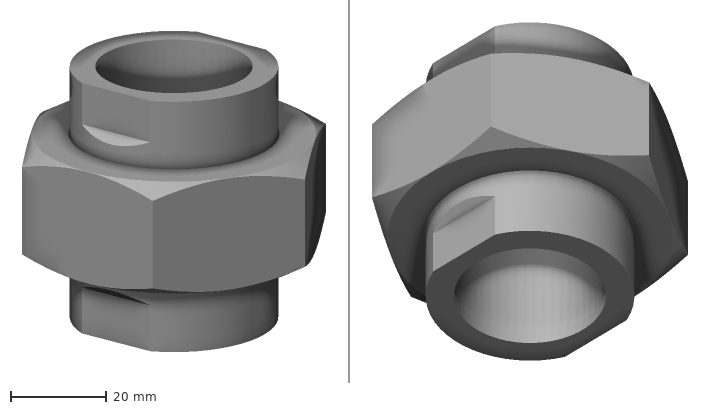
import cadquery as cq
import math

ACROSS_CORNERS = 69.3
ACROSS_FLATS = ACROSS_CORNERS * math.cos(math.radians(30))
TOTAL_HEIGHT = 56.0
NUT_BOTTOM = 16.0
NUT_HEIGHT = 25.0
NUT_TOP = NUT_BOTTOM + NUT_HEIGHT

NUT_BORE_RADIUS = 22.25
NUT_FACE_RADIUS = 29.9
NUT_CHAMFER_ANGLE = 30.0

TAIL_RADIUS = 21.95
JOINT_HEIGHT = 32.85
UPPER_BORE_RADIUS = 16.55
LOWER_BORE_RADIUS = 16.0
FLARE_HEIGHT = 0.5

FLAT_OFFSET = 20.0
UPPER_FLAT_LENGTH = 9.2
LOWER_FLAT_LENGTH = 10.25


def make_nut():
    """Hexagon with conical corner chamfers on both faces and a plain bore."""
    corner_radius = ACROSS_CORNERS / 2
    chamfer_height = (corner_radius - NUT_FACE_RADIUS) * math.tan(math.radians(NUT_CHAMFER_ANGLE))
    hexagon = (
        cq.Workplane("XY", origin=(0, 0, NUT_BOTTOM))
        .polygon(6, ACROSS_CORNERS)
        .extrude(NUT_HEIGHT)
    )
    envelope = (
        cq.Workplane("XZ")
        .polyline([
            (NUT_BORE_RADIUS, NUT_BOTTOM),
            (NUT_FACE_RADIUS, NUT_BOTTOM),
            (corner_radius, NUT_BOTTOM + chamfer_height),
            (corner_radius, NUT_TOP - chamfer_height),
            (NUT_FACE_RADIUS, NUT_TOP),
            (NUT_BORE_RADIUS, NUT_TOP),
        ])
        .close()
        .revolve(360, (0, 0), (0, 1))
    )
    return hexagon.intersect(envelope)


def cut_wrench_flats(tail, end_height, flat_length, inward):
    """Cut two opposite flats from an end face; inward is +1 for up and -1 for down."""
    outer_offset = ACROSS_FLATS / 2
    run_out = outer_offset - FLAT_OFFSET
    flat_end = end_height + inward * flat_length
    for side in (1, -1):
        cutter = (
            cq.Workplane("YZ")
            .polyline([
                (side * FLAT_OFFSET, end_height),
                (side * outer_offset, end_height),
                (side * outer_offset, flat_end + inward * run_out),
                (side * FLAT_OFFSET, flat_end),
            ])
            .close()
            .extrude(TAIL_RADIUS, both=True)
        )
        tail = tail.cut(cutter)
    return tail


def make_upper_tail():
    """Plain tube that passes through the nut with a small clearance."""
    tube = (
        cq.Workplane("XY", origin=(0, 0, JOINT_HEIGHT))
        .circle(TAIL_RADIUS)
        .circle(UPPER_BORE_RADIUS)
        .extrude(TOTAL_HEIGHT - JOINT_HEIGHT)
    )
    return cut_wrench_flats(tube, TOTAL_HEIGHT, UPPER_FLAT_LENGTH, -1)


def make_lower_tail():
    """Tube that flares just below the nut to fill the nut bore."""
    tube = (
        cq.Workplane("XZ")
        .polyline([
            (LOWER_BORE_RADIUS, 0),
            (TAIL_RADIUS, 0),
            (TAIL_RADIUS, NUT_BOTTOM - FLARE_HEIGHT),
            (NUT_BORE_RADIUS, NUT_BOTTOM),
            (NUT_BORE_RADIUS, JOINT_HEIGHT),
            (LOWER_BORE_RADIUS, JOINT_HEIGHT),
        ])
        .close()
        .revolve(360, (0, 0), (0, 1))
    )
    return cut_wrench_flats(tube, 0, LOWER_FLAT_LENGTH, 1)


nut = make_nut()
upper_tail = make_upper_tail()
lower_tail = make_lower_tail()

result = cq.Compound.makeCompound([nut.val(), upper_tail.val(), lower_tail.val()])